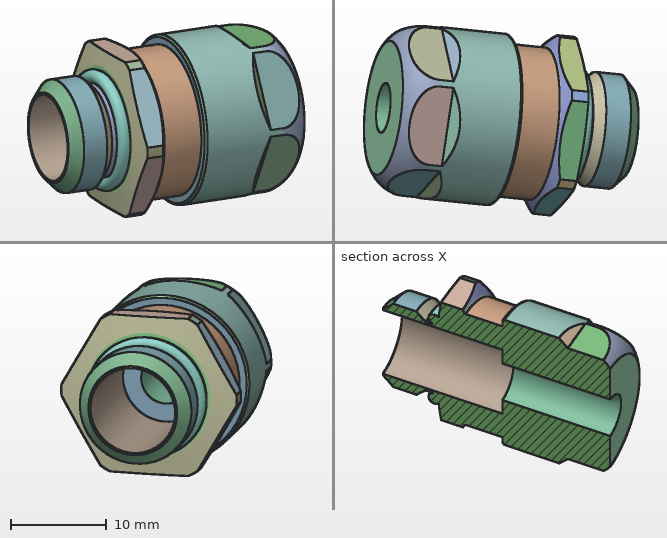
import cadquery as cq
import math

tip_chamfer = 1.21
thread_end = 3.9
neck_start = 5.0
ring_start = 5.28
collar_face = 6.5
collar_edge = 6.9
cap_start = 13.89
flat_start = 21.5
dome_start = 22.95
length = 26.4

small_bore_radius = 5.2 / 2
large_bore_radius = 9.1 / 2
tip_radius = 4.78
thread_radius = 12.0 / 2
neck_radius = 9.93 / 2
ring_radius = 6.42
washer_radius = 6.73
body_radius = 16.0 / 2
cap_radius = 18.0 / 2
corner_radius = 18.9 / 2
dome_radius = 4.0

cap_rim_chamfer = 0.25
ring_section_radius = 0.75
collar_height = 1.82
collar_root_chamfer = 0.13
collar_bevel_angle = 30.0
collar_flat_distance = 16.92 / 2
cap_flat_distance = 7.97
bore_depth = cap_start
flat_count = 6


def revolve(profile):
    """Turn a closed (radius, station) outline about the Y axis."""
    return profile.close().revolve(360, (0, 0, 0), (0, 1, 0))


def make_stem():
    """Threaded end, its undercut neck and the cylindrical body behind it."""
    points = [
        (0, 0),
        (tip_radius, 0),
        (thread_radius, tip_chamfer),
        (thread_radius, thread_end),
        (neck_radius, neck_start),
        (neck_radius, collar_edge),
        (body_radius, collar_edge),
        (body_radius, cap_start),
        (0, cap_start),
    ]
    return revolve(cq.Workplane("XY").polyline(points))


def make_ring():
    """Round sealing ring on the neck, with the gap behind it filled up to the collar."""
    center_station = ring_start + ring_section_radius
    center_radius = ring_radius - ring_section_radius
    return revolve(
        cq.Workplane("XY")
        .moveTo(0, center_station)
        .lineTo(center_radius - ring_section_radius, center_station)
        .threePointArc((ring_radius, center_station), (center_radius, center_station + ring_section_radius))
        .lineTo(center_radius, collar_edge)
        .lineTo(0, collar_edge)
    )


def make_collar():
    """Hexagonal collar with turned corners, beveled faces and a small root chamfer."""
    bevel_start = collar_edge + collar_height
    root_radius = body_radius + collar_root_chamfer
    bevel_end = bevel_start + (corner_radius - root_radius) * math.tan(math.radians(collar_bevel_angle))
    points = [
        (0, collar_face),
        (washer_radius, collar_face),
        (corner_radius, collar_edge),
        (corner_radius, bevel_start),
        (root_radius, bevel_end),
        (body_radius, bevel_end + collar_root_chamfer),
        (0, bevel_end + collar_root_chamfer),
    ]
    turned = revolve(cq.Workplane("XY").polyline(points))
    corner_diameter = 2 * collar_flat_distance / math.cos(math.pi / flat_count)
    hexagon = cq.Workplane("XZ").polygon(flat_count, corner_diameter).extrude(-length)
    return turned.intersect(hexagon)


def make_cap():
    """Domed cap nut with six wrench flats that run out at 45 degrees."""
    dome_center = cap_radius - dome_radius
    dome_height = length - dome_start
    end_radius = dome_center + math.sqrt(dome_radius**2 - dome_height**2)
    cap = revolve(
        cq.Workplane("XY")
        .moveTo(0, cap_start)
        .lineTo(cap_radius - cap_rim_chamfer, cap_start)
        .lineTo(cap_radius, cap_start + cap_rim_chamfer)
        .lineTo(cap_radius, dome_start)
        .tangentArcPoint((end_radius, length), relative=False)
        .lineTo(0, length)
    )
    runout = corner_radius - cap_flat_distance
    cutter_points = [
        (flat_start, cap_flat_distance),
        (flat_start - runout, corner_radius),
        (length, corner_radius),
        (length, cap_flat_distance),
    ]
    cutter = cq.Workplane("YZ").polyline(cutter_points).close().extrude(cap_radius, both=True)
    for index in range(flat_count):
        cap = cap.cut(cutter.rotate((0, 0, 0), (0, 1, 0), index * 360 / flat_count))
    return cap


def make_bore(radius, depth):
    """Round cutter entering from the threaded tip."""
    return cq.Workplane("XZ").circle(radius).extrude(-depth)


result = make_stem().union(make_ring()).union(make_collar()).union(make_cap())
result = result.cut(make_bore(large_bore_radius, bore_depth)).cut(make_bore(small_bore_radius, length))